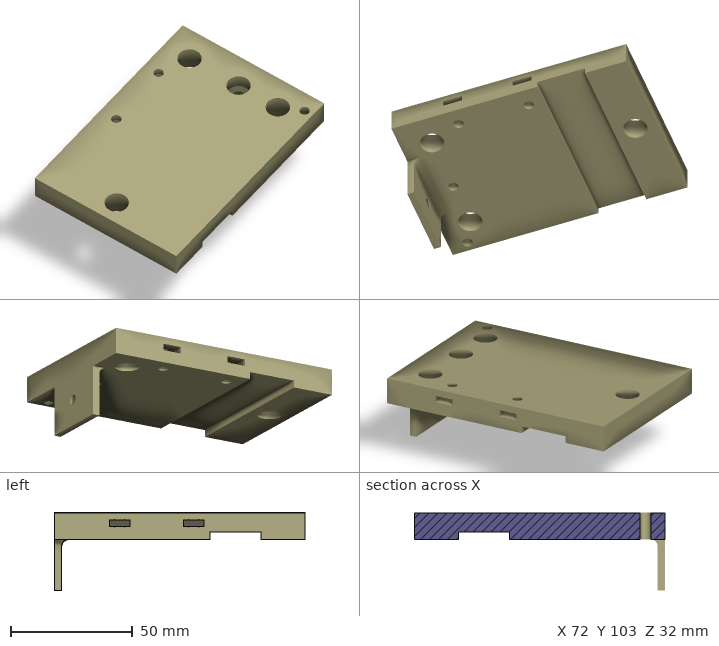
import cadquery as cq

plate_width = 72.0
plate_length = 103.0
plate_thickness = 11.0

flange_left = 18.6
flange_width = 31.3
flange_drop = 21.0
flange_thickness = 3.0
flange_fillet = 3.0
flange_hole_x = 34.9
flange_hole_drop = 9.9

channel_back = 64.0
channel_length = 20.9
channel_depth = 3.0

large_diameter = 10.0
small_diameter = 4.2
back_row_y = -13.0
large_holes = [(13.0, back_row_y), (57.9, back_row_y), (35.0, -93.9)]
corner_hole = (67.9, -8.0)
counterbored_hole = (37.9, back_row_y)
counterbore_depth = 6.0

slotted_holes = [(7.3, -26.8), (8.0, -57.3)]
slot_width = 8.4
slot_height = 2.8
slot_top_cover = 3.0


def make_plate():
    return cq.Workplane("XY").box(
        plate_width, plate_length, plate_thickness, centered=False
    ).translate((0, -plate_length, 0))


def make_flange():
    """Thin tab with a concave fillet blending it into the plate underside."""
    profile = (
        cq.Workplane("YZ", origin=(flange_left, 0, 0))
        .lineTo(0, -flange_drop)
        .lineTo(-flange_thickness, -flange_drop)
        .lineTo(-flange_thickness, -flange_fillet)
        .radiusArc((-flange_thickness - flange_fillet, 0), -flange_fillet)
        .close()
    )
    hole = (
        cq.Workplane("XZ", origin=(flange_hole_x, 0, -flange_hole_drop))
        .circle(small_diameter / 2)
        .extrude(flange_thickness)
    )
    return profile.extrude(flange_width).cut(hole)


def make_channel():
    return cq.Workplane("XY").box(
        plate_width, channel_length, channel_depth, centered=False
    ).translate((0, -channel_back - channel_length, 0))


def vertical_holes(points, diameter, bottom=0):
    """Cylinders from the given height up to the top face."""
    return (
        cq.Workplane("XY", origin=(0, 0, bottom))
        .pushPoints(points)
        .circle(diameter / 2)
        .extrude(plate_thickness - bottom)
    )


def nut_slot(hole_x, hole_y):
    """Flat pocket from the left side, reaching half its width past the hole."""
    depth = hole_x + slot_width / 2
    bottom = plate_thickness - slot_top_cover - slot_height
    return cq.Workplane("XY").box(
        depth, slot_width, slot_height, centered=(False, True, False)
    ).translate((0, hole_y, bottom))


result = make_plate().union(make_flange()).cut(make_channel())
result = result.cut(vertical_holes(large_holes, large_diameter))
small_holes = [corner_hole, counterbored_hole] + slotted_holes
result = result.cut(vertical_holes(small_holes, small_diameter))
counterbore_floor = plate_thickness - counterbore_depth
result = result.cut(vertical_holes([counterbored_hole], large_diameter, counterbore_floor))
for x, y in slotted_holes:
    result = result.cut(nut_slot(x, y))